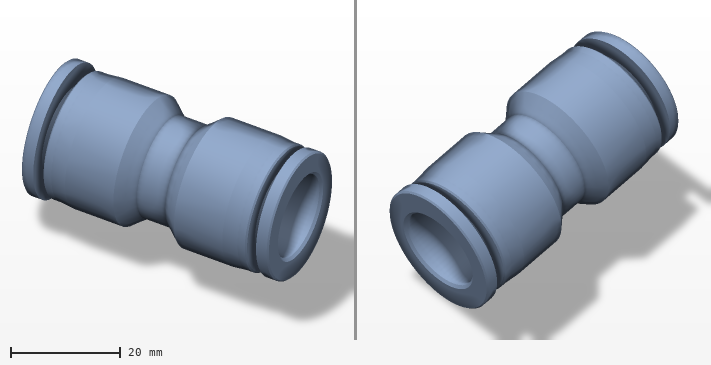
import cadquery as cq

LENGTH = 51.2
HALF_LENGTH = LENGTH / 2

WAIST_DIAMETER = 20.0
BODY_DIAMETER = 25.5
COLLAR_DIAMETER = 24.9
SLEEVE_DIAMETER = 18.2

FLANGE_THICKNESS = 2.5
COLLAR_START = 4.5
COLLAR_END = 6.3
BODY_START = 9.3
BODY_END = 19.3
WAIST_START = 22.7
COLLAR_CHAMFER = 0.3

FLANGE_MAJOR_RADIUS = 13.4
FLANGE_MINOR_RADIUS = 12.25
FLANGE_MAJOR_ANGLE = 70.0
FLANGE_CHAMFER = 0.3

THROUGH_DIAMETER = 11.0
SOCKET_DIAMETER = 16.3
SOCKET_DEPTH = 20.5
SOCKET_CHAMFER = 0.5


def cylinder(diameter, start, length):
    """Cylinder along +X from the plane X = start."""
    return cq.Workplane("YZ", origin=(start, 0, 0)).circle(diameter / 2).extrude(length)


def outer_body():
    """Revolved body and release sleeves, without the oval flanges."""
    left_profile = [
        (HALF_LENGTH, SLEEVE_DIAMETER / 2),
        (HALF_LENGTH - COLLAR_START, SLEEVE_DIAMETER / 2),
        (HALF_LENGTH - COLLAR_START, COLLAR_DIAMETER / 2 - COLLAR_CHAMFER),
        (HALF_LENGTH - COLLAR_START - COLLAR_CHAMFER, COLLAR_DIAMETER / 2),
        (HALF_LENGTH - COLLAR_END, COLLAR_DIAMETER / 2),
        (HALF_LENGTH - BODY_START, BODY_DIAMETER / 2),
        (HALF_LENGTH - BODY_END, BODY_DIAMETER / 2),
        (HALF_LENGTH - WAIST_START, WAIST_DIAMETER / 2),
    ]
    left = [(-distance, radius) for distance, radius in left_profile]
    right = list(reversed(left_profile))
    outline = [(-HALF_LENGTH, 0)] + left + right + [(HALF_LENGTH, 0)]
    return cq.Workplane("XY").polyline(outline).close().revolve(360, (0, 0, 0), (1, 0, 0))


def left_flange():
    """Oval flange at the -X end, chamfered around its outer face."""
    return (
        cq.Workplane("YZ", origin=(-HALF_LENGTH, 0, 0))
        .ellipse(FLANGE_MAJOR_RADIUS, FLANGE_MINOR_RADIUS, rotation_angle=FLANGE_MAJOR_ANGLE)
        .extrude(FLANGE_THICKNESS)
        .faces("<X")
        .chamfer(FLANGE_CHAMFER)
    )


def left_socket():
    """Tube socket at the -X end, including its lead-in chamfer."""
    mouth = (
        cq.Workplane("YZ", origin=(-HALF_LENGTH, 0, 0))
        .circle(SOCKET_DIAMETER / 2 + SOCKET_CHAMFER)
        .workplane(offset=SOCKET_CHAMFER)
        .circle(SOCKET_DIAMETER / 2)
        .loft(ruled=True)
    )
    return cylinder(SOCKET_DIAMETER, -HALF_LENGTH, SOCKET_DEPTH).union(mouth)


result = outer_body()
for turn in (0, 180):
    result = result.union(left_flange().rotate((0, 0, 0), (0, 0, 1), turn))
result = result.cut(cylinder(THROUGH_DIAMETER, -HALF_LENGTH, LENGTH))
for turn in (0, 180):
    result = result.cut(left_socket().rotate((0, 0, 0), (0, 0, 1), turn))